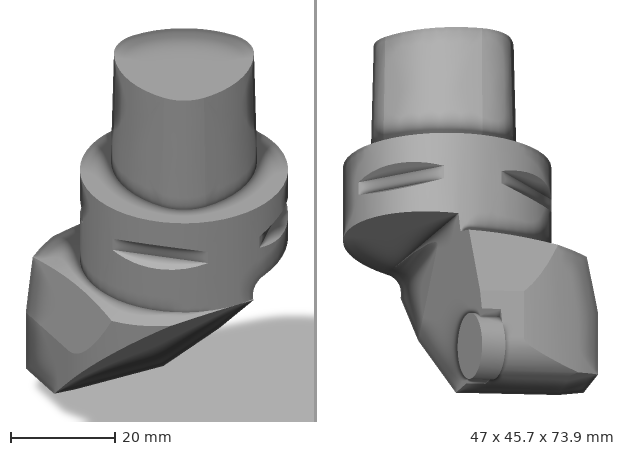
import cadquery as cq
import math


shank_length = 24.1
shank_lobe_reach = 14.95
shank_flat_reach = 13.2
shank_width = shank_lobe_reach + shank_flat_reach
shank_taper = math.degrees(math.atan(1 / 40))

flange_radius = 40.0 / 2
flange_height = 20.0
slot_depth_z = 8.0
slot_floor_distance = 17.6
slot_floor_height = 2.5
slot_side_angle = 30.0

insert_radius = 12.7 / 2
insert_thickness = 4.8
insert_center = (-20.65, 0.95, -43.5)
insert_tilt = math.tan(math.radians(6.0))
insert_plane = cq.Plane(
    origin=insert_center,
    xDir=(1, insert_tilt, 0),
    normal=(insert_tilt, -1, insert_tilt),
)

head_front_y = -25.7
head_bottom_z = -51.8
shoulder_cone_angle = 15.0
front_slope_angle = 15.5
front_slope_start_z = -32.85
front_chamfer_z = -45.4
front_chamfer_angle = 15.0
flank_start = (-25.5, -7.9)
flank_end = (-16.3, head_front_y)
flank_radius = 40.7
right_corner_radius = 21.25
nose_radius = 5.7
nose_wall_height = 9.4
nose_slope_angle = 10.5

face_recess = 0.9
relief_wall_y = 4.0
relief_roof_z = -14.95
relief_roof_angle = 4.8
relief_fillet = 2.95

reach = 59.2


def polar(radius, degrees):
    angle = math.radians(degrees)
    return (radius * math.cos(angle), radius * math.sin(angle))


def make_shank():
    """Six tangent arcs: small lobe arcs alternating with large flat arcs."""
    root3 = math.sqrt(3)
    lobe_radius = (shank_width - root3 * shank_lobe_reach) / (2 - root3)
    lobe_offset = shank_lobe_reach - lobe_radius

    def lobe_point(lobe_angle, side_angle):
        cx, cy = polar(lobe_offset, lobe_angle)
        dx, dy = polar(lobe_radius, lobe_angle + side_angle)
        return (cx + dx, cy + dy)

    outline = cq.Workplane("XY").moveTo(*lobe_point(90, -30))
    for lobe_angle in (90, 210, 330):
        outline = outline.threePointArc(polar(shank_lobe_reach, lobe_angle), lobe_point(lobe_angle, 30))
        outline = outline.threePointArc(polar(shank_flat_reach, lobe_angle + 60), lobe_point(lobe_angle + 120, -30))
    return outline.close().extrude(shank_length, taper=shank_taper)


def make_gripper_slots():
    """Straight slots with a flat floor and sloping sides."""
    depth = flange_radius - slot_floor_distance
    half_floor = slot_floor_height / 2
    half_mouth = half_floor + depth * math.tan(math.radians(slot_side_angle))
    slot = (
        cq.Workplane("XZ")
        .polyline([
            (slot_floor_distance, -slot_depth_z - half_floor),
            (slot_floor_distance, -slot_depth_z + half_floor),
            (flange_radius, -slot_depth_z + half_mouth),
            (flange_radius, -slot_depth_z - half_mouth),
        ])
        .close()
        .extrude(flange_radius, both=True)
    )
    return [slot.rotate((0, 0, 0), (0, 0, 1), angle) for angle in (45, 135, 225, 315)]


def make_flange():
    flange = cq.Workplane("XY").circle(flange_radius).extrude(-flange_height)
    for slot in make_gripper_slots():
        flange = flange.cut(slot)
    return flange


def make_plan_block():
    """Vertical block with a curved left flank and a rounded right corner."""
    left = -reach / 2
    back = flange_radius
    chord_x = flank_end[0] - flank_start[0]
    chord_y = flank_end[1] - flank_start[1]
    half_chord = math.hypot(chord_x, chord_y) / 2
    bulge = flank_radius - math.sqrt(flank_radius**2 - half_chord**2)
    return (
        cq.Workplane("XY", origin=(0, 0, head_bottom_z))
        .moveTo(left, back)
        .lineTo(left, flank_start[1])
        .lineTo(*flank_start)
        .sagittaArc(flank_end, -bulge)
        .lineTo(0, head_front_y)
        .radiusArc((right_corner_radius, head_front_y + right_corner_radius), -right_corner_radius)
        .lineTo(right_corner_radius, back)
        .close()
        .extrude(-flange_height - head_bottom_z)
    )


def make_shoulder_cone():
    """Everything below the conical shoulder that falls away from the flange."""
    drop = (reach - flange_radius) * math.tan(math.radians(shoulder_cone_angle))
    return (
        cq.Workplane("XZ")
        .polyline([
            (0, -flange_height),
            (flange_radius, -flange_height),
            (reach, -flange_height - drop),
            (reach, -reach),
            (0, -reach),
        ])
        .close()
        .revolve(360, (0, 0, 0), (0, 1, 0))
    )


def make_side_profile():
    """YZ profile: sloping upper front, upright front and bottom chamfer."""
    slope_rise = -front_slope_start_z
    slope_run = slope_rise * math.tan(math.radians(front_slope_angle))
    chamfer_drop = (reach - head_front_y) * math.tan(math.radians(front_chamfer_angle))
    return (
        cq.Workplane("YZ")
        .polyline([
            (head_front_y, front_chamfer_z),
            (head_front_y, front_slope_start_z),
            (head_front_y + slope_run, 0),
            (reach, 0),
            (reach, front_chamfer_z - chamfer_drop),
        ])
        .close()
        .extrude(reach, both=True)
    )


def make_nose_profile():
    """Left wall, rounded nose and bottom, all running along the insert axis."""
    slope_rise = reach - nose_wall_height
    slope_run = slope_rise * math.tan(math.radians(nose_slope_angle))
    return (
        cq.Workplane(insert_plane)
        .moveTo(0, -nose_radius)
        .radiusArc((-nose_radius, 0), nose_radius)
        .lineTo(-nose_radius, nose_wall_height)
        .lineTo(-nose_radius + slope_run, reach)
        .lineTo(reach, reach)
        .lineTo(reach, -nose_radius)
        .close()
        .extrude(reach, both=True)
    )


def make_underside_cut():
    """Everything to the right of the 45 degree plane through the flange edge."""
    return (
        cq.Workplane("XZ")
        .polyline([
            (flange_radius + reach, -flange_height + reach),
            (flange_radius - reach, -flange_height - reach),
            (flange_radius + reach, -flange_height - reach),
        ])
        .close()
        .extrude(reach, both=True)
    )


def make_relief():
    """Chip space: an upright wall rounded into a sloping roof, joined by the tilted face."""
    roof_slope = math.tan(math.radians(relief_roof_angle))
    roof_back_z = relief_roof_z + (reach - flange_radius) * roof_slope
    roof_front_z = relief_roof_z - (reach + flange_radius) * roof_slope
    roof_wall_z = relief_roof_z - (flange_radius - relief_wall_y) * roof_slope

    def prism(points):
        return cq.Workplane("YZ").polyline(points).close().extrude(reach, both=True)

    back_space = prism([
        (relief_wall_y, -reach),
        (relief_wall_y, roof_wall_z),
        (reach, roof_back_z),
        (reach, -reach),
    ])
    corner = cq.selectors.NearestToPointSelector((0, relief_wall_y, roof_wall_z))
    back_space = back_space.edges(corner).fillet(relief_fillet)

    below_roof = prism([(-reach, -reach), (-reach, roof_front_z), (reach, roof_back_z), (reach, -reach)])
    face_space = (
        cq.Workplane(insert_plane)
        .workplane(offset=face_recess)
        .rect(2 * reach, 2 * reach)
        .extrude(-reach)
        .intersect(below_roof)
    )
    return back_space, face_space


def make_insert_seat():
    """Round seat opened towards the nose by two radial sides on the 45 degree line."""
    seat = cq.Workplane(insert_plane).circle(insert_radius).extrude(insert_thickness)
    opening_size = 2 * insert_radius
    opening = (
        cq.Workplane(insert_plane)
        .polyline([
            (-opening_size, opening_size),
            (opening_size, -opening_size),
            (-opening_size, -opening_size),
        ])
        .close()
        .extrude(insert_thickness)
    )
    return seat.union(opening)


def make_holder():
    head = make_plan_block()
    for envelope in (make_shoulder_cone(), make_side_profile(), make_nose_profile()):
        head = head.intersect(envelope)
    head = head.cut(make_underside_cut())
    body = make_flange().union(head)
    for space in make_relief():
        body = body.cut(space)
    return body.cut(make_insert_seat()).union(make_shank())


def make_insert():
    return cq.Workplane(insert_plane).circle(insert_radius).extrude(insert_thickness)


holder = make_holder()
insert = make_insert()

result = cq.Compound.makeCompound([holder.solids().val(), insert.val()])